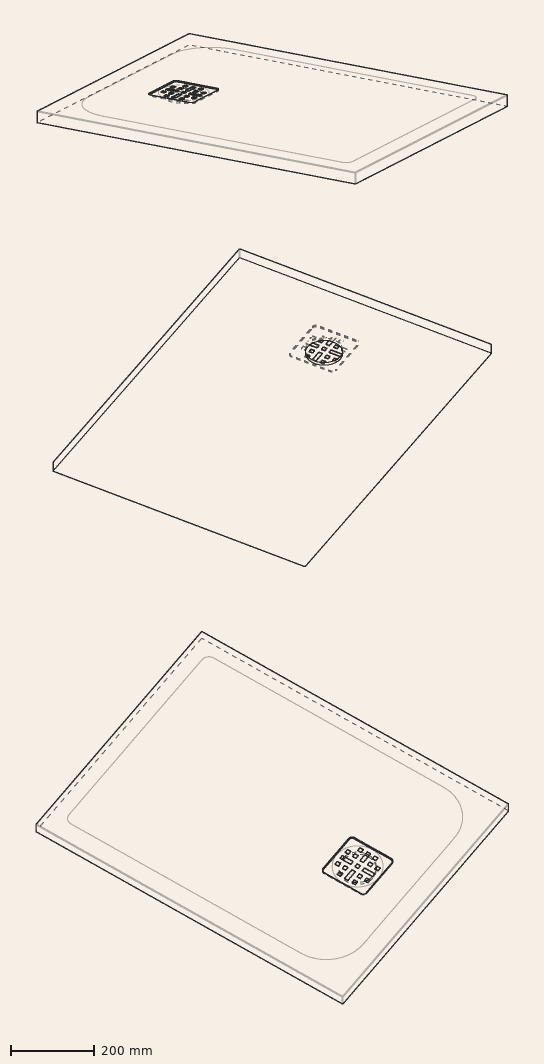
import cadquery as cq
LENGTH = 900.0
WIDTH = 700.0
HEIGHT = 30.0
EDGE_RADIUS = 2.0

RIM = 49.5
DRAIN_SIDE_RADIUS = 108.0
FAR_SIDE_RADIUS = 20.0
DISH_DEPTH = 14.0

DRAIN_SETBACK = 200.0
DRAIN_X = DRAIN_SETBACK - LENGTH / 2
RECESS_SIZE = 128.0
RECESS_RADIUS = 10.0
RECESS_DEPTH = 4.0
FUNNEL_DIAMETER = 122.0
FUNNEL_DEPTH = 4.0
DRAIN_DIAMETER = 90.0

GRATE_GAP = 2.0
GRATE_SIZE = RECESS_SIZE - 2 * GRATE_GAP
GRATE_RADIUS = RECESS_RADIUS - GRATE_GAP
GRATE_THICKNESS = 2.0
OPENING = 10.0
OPENING_PITCH = 22.0

DISH_FLOOR_Z = HEIGHT - DISH_DEPTH
RECESS_FLOOR_Z = DISH_FLOOR_Z - RECESS_DEPTH
FUNNEL_FLOOR_Z = RECESS_FLOOR_Z - FUNNEL_DEPTH
ROOT_HALF = 0.5 ** 0.5


def rounded_outline(z, x_min, x_max, half_width, left_radius, right_radius):
    """Closed wire symmetric about the X axis, with its own corner radius at each X end."""
    left_mid = left_radius * (1 - ROOT_HALF)
    right_mid = right_radius * (1 - ROOT_HALF)
    return (
        cq.Workplane("XY", origin=(0, 0, z))
        .moveTo(x_min + left_radius, -half_width)
        .lineTo(x_max - right_radius, -half_width)
        .threePointArc((x_max - right_mid, -half_width + right_mid), (x_max, -half_width + right_radius))
        .lineTo(x_max, half_width - right_radius)
        .threePointArc((x_max - right_mid, half_width - right_mid), (x_max - right_radius, half_width))
        .lineTo(x_min + left_radius, half_width)
        .threePointArc((x_min + left_mid, half_width - left_mid), (x_min, half_width - left_radius))
        .lineTo(x_min, -half_width + left_radius)
        .threePointArc((x_min + left_mid, -half_width + left_mid), (x_min + left_radius, -half_width))
        .wire()
        .val()
    )


def rounded_plate(size, radius, z, thickness):
    """Square plate with rounded corners, centred on the drain, with its underside at z."""
    return (
        cq.Workplane("XY", origin=(DRAIN_X, 0, z))
        .rect(size, size)
        .extrude(thickness)
        .edges("|Z")
        .fillet(radius)
    )


def make_dish():
    """Volume removed above one smooth floor that falls from the basin outline to the drain recess."""
    outline = rounded_outline(
        HEIGHT, RIM - LENGTH / 2, LENGTH / 2 - RIM, WIDTH / 2 - RIM, DRAIN_SIDE_RADIUS, FAR_SIDE_RADIUS
    )
    half_recess = RECESS_SIZE / 2
    drain_end = rounded_outline(
        DISH_FLOOR_Z, DRAIN_X - half_recess, DRAIN_X + half_recess, half_recess, RECESS_RADIUS, RECESS_RADIUS
    )
    floor = cq.Face.makeNSidedSurface(outline.Edges(), drain_end.Edges())
    return cq.Workplane(cq.Solid.extrudeLinear(floor, cq.Vector(0, 0, HEIGHT)))


def make_funnel():
    """Conical seat that narrows from the recess floor to the drain hole."""
    return (
        cq.Workplane("XY", origin=(DRAIN_X, 0, FUNNEL_FLOOR_Z))
        .circle(DRAIN_DIAMETER / 2)
        .workplane(offset=FUNNEL_DEPTH)
        .circle(FUNNEL_DIAMETER / 2)
        .loft(combine=True)
    )


def make_tray():
    slab = cq.Workplane("XY").box(LENGTH, WIDTH, HEIGHT, centered=(True, True, False))
    slab = slab.edges("|Z or >Z").fillet(EDGE_RADIUS)
    recess = rounded_plate(RECESS_SIZE, RECESS_RADIUS, RECESS_FLOOR_Z, HEIGHT - RECESS_FLOOR_Z)
    drain_hole = cq.Workplane("XY").center(DRAIN_X, 0).circle(DRAIN_DIAMETER / 2).extrude(HEIGHT)
    return slab.cut(make_dish()).cut(recess).cut(make_funnel()).cut(drain_hole)


def openings(x_size, y_size, offsets):
    """Rectangular bars through the grate, at offsets from the drain centre."""
    return (
        cq.Workplane("XY", origin=(DRAIN_X, 0, RECESS_FLOOR_Z))
        .pushPoints(offsets)
        .rect(x_size, y_size)
        .extrude(GRATE_THICKNESS)
    )


def make_grate():
    """Plate pierced by a centre square, four slots around it and three squares in each quadrant."""
    near = OPENING_PITCH
    far = 2 * OPENING_PITCH
    slot_length = far - near + OPENING
    slot_centre = (near + far) / 2

    squares = [(0, 0)]
    for x_sign in (-1, 1):
        for y_sign in (-1, 1):
            for x, y in ((near, near), (far, near), (near, far)):
                squares.append((x_sign * x, y_sign * y))

    plate = rounded_plate(GRATE_SIZE, GRATE_RADIUS, RECESS_FLOOR_Z, GRATE_THICKNESS)
    return (
        plate.cut(openings(OPENING, OPENING, squares))
        .cut(openings(slot_length, OPENING, [(-slot_centre, 0), (slot_centre, 0)]))
        .cut(openings(OPENING, slot_length, [(0, -slot_centre), (0, slot_centre)]))
    )


tray = make_tray()
grate = make_grate()

result = cq.Compound.makeCompound([tray.val(), grate.val()])